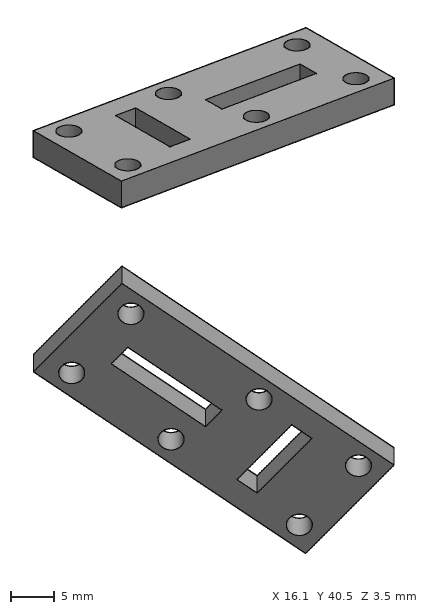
import cadquery as cq

width = 16.1
length = 40.5
thickness = 3.5

hole_diameter = 3.0
hole_column_x = 5.4
pattern_center_y = -0.2
end_hole_offset = 16.93
inner_hole_offset = 2.15

window_width = 3.0
long_window_length = 14.0
long_window_center = (0.0, 7.0)
cross_window_length = 9.95
cross_window_center = (0.0, -9.05)


def window(size_x, size_y, center):
    """Cutting block for a rectangular opening through the plate."""
    return cq.Workplane("XY").box(size_x, size_y, thickness).translate((*center, 0))


hole_points = []
for side in (-1, 1):
    for offset in (-end_hole_offset, side * inner_hole_offset, end_hole_offset):
        hole_points.append((side * hole_column_x, pattern_center_y + offset))

plate = cq.Workplane("XY").box(width, length, thickness)
drilled = plate.faces(">Z").workplane().pushPoints(hole_points).hole(hole_diameter)

long_window = window(window_width, long_window_length, long_window_center)
cross_window = window(cross_window_length, window_width, cross_window_center)

result = drilled.cut(long_window).cut(cross_window)